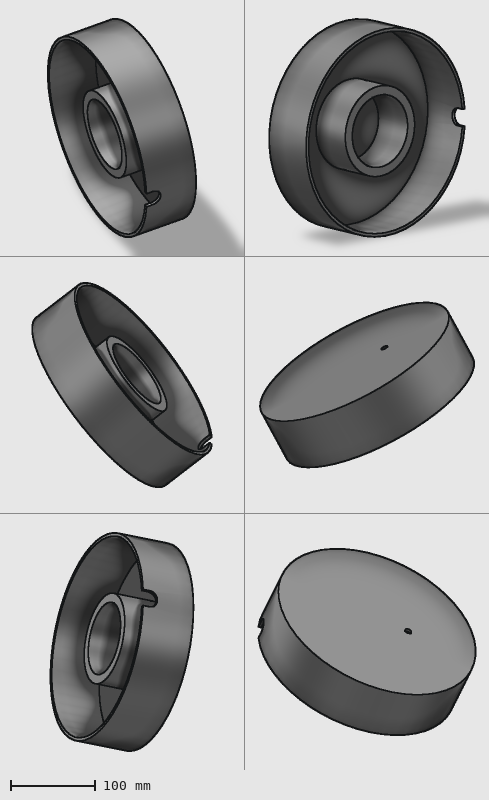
import cadquery as cq

outer_diameter = 250.0
depth = 66.0
wall_thickness = 4.0
floor_thickness = 4.0

hub_outer_diameter = 109.0
hub_bore_diameter = 87.0
hub_height = 52.0

pin_hole_diameter = 8.0
pin_hole_offset = hub_bore_diameter / 2 - pin_hole_diameter / 2

notch_width = 21.0
notch_straight_length = 8.0

rim_y = -depth / 2
back_y = depth / 2
floor_y = back_y - floor_thickness


def cylinder_from(start_y, diameter, length):
    """Cylinder about the Y axis, growing from start_y towards -Y."""
    return cq.Workplane("XZ", origin=(0, start_y, 0)).circle(diameter / 2).extrude(length)


def make_cup():
    """Round pan with a closed back and an open front."""
    body = cylinder_from(back_y, outer_diameter, depth)
    cavity = cylinder_from(floor_y, outer_diameter - 2 * wall_thickness, floor_y - rim_y)
    return body.cut(cavity)


def make_hub():
    """Central tube standing on the floor, closed off by the floor at its back."""
    tube = cylinder_from(floor_y, hub_outer_diameter, hub_height)
    return tube.cut(cylinder_from(floor_y, hub_bore_diameter, hub_height))


def make_pin_hole():
    """Through hole in the floor, tangent to the hub bore on the -X side."""
    return cylinder_from(back_y, pin_hole_diameter, floor_thickness).translate((-pin_hole_offset, 0, 0))


def make_notch():
    """Round-ended notch through the +X wall, open at the rim; it starts outside the hub."""
    outer_radius = outer_diameter / 2
    hub_radius = hub_outer_diameter / 2
    half_width = notch_width / 2
    arc_start_y = rim_y + notch_straight_length
    return (
        cq.Workplane("YZ", origin=(hub_radius, 0, 0))
        .moveTo(rim_y, -half_width)
        .lineTo(arc_start_y, -half_width)
        .threePointArc((arc_start_y + half_width, 0), (arc_start_y, half_width))
        .lineTo(rim_y, half_width)
        .close()
        .extrude(outer_radius - hub_radius)
    )


result = make_cup().union(make_hub()).cut(make_pin_hole()).cut(make_notch())